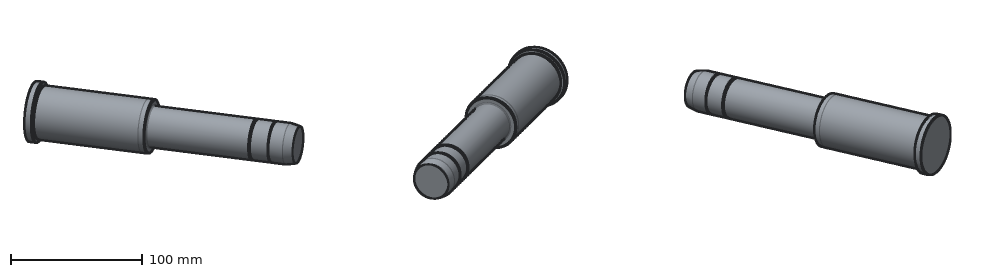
import cadquery as cq

length = 211.0
head_diameter = 47.0
body_diameter = 42.0
shaft_diameter = 32.0
nose_diameter = 28.5

head_length = 6.0
head_chamfer = 0.5
neck_length = 1.3
neck_depth = 0.5
body_end = 95.0
body_chamfer = 0.6
lead_length = 5.0
lead_taper = 0.02
shaft_fillet = 0.6
nose_length = 7.5
nose_bulge = 0.2

groove_depth = 0.5
wide_groove_center = 176.8
wide_groove_width = 1.3
narrow_groove_center = 191.8
narrow_groove_width = 0.6

head_radius = head_diameter / 2
body_radius = body_diameter / 2
shaft_radius = shaft_diameter / 2
nose_radius = nose_diameter / 2
neck_radius = body_radius - neck_depth
neck_end = head_length + neck_length
lead_radius = body_radius - lead_taper
lead_start = body_end - lead_length
nose_start = length - nose_length
nose_middle = (length - nose_length / 2, (shaft_radius + nose_radius) / 2 + nose_bulge)

outline = (
    cq.Workplane("XY")
    .lineTo(0, head_radius - head_chamfer)
    .lineTo(head_chamfer, head_radius)
    .lineTo(head_length - head_chamfer, head_radius)
    .lineTo(head_length, head_radius - head_chamfer)
    .lineTo(head_length, neck_radius)
    .lineTo(neck_end, neck_radius)
    .lineTo(neck_end, body_radius)
    .lineTo(lead_start, body_radius)
    .lineTo(body_end - body_chamfer, lead_radius)
    .lineTo(body_end, lead_radius - body_chamfer)
    .lineTo(body_end, shaft_radius + shaft_fillet)
    .tangentArcPoint((shaft_fillet, -shaft_fillet), relative=True)
    .lineTo(nose_start, shaft_radius)
    .threePointArc(nose_middle, (length, nose_radius))
    .lineTo(length, 0)
    .close()
)
pin = outline.revolve(360, (0, 0, 0), (1, 0, 0))


def ring_cutter(center, width):
    """Ring that cuts a square groove around the shaft."""
    return (
        cq.Workplane("YZ", origin=(center - width / 2, 0, 0))
        .circle(body_radius)
        .circle(shaft_radius - groove_depth)
        .extrude(width)
    )


pin = pin.cut(ring_cutter(wide_groove_center, wide_groove_width))
result = pin.cut(ring_cutter(narrow_groove_center, narrow_groove_width))